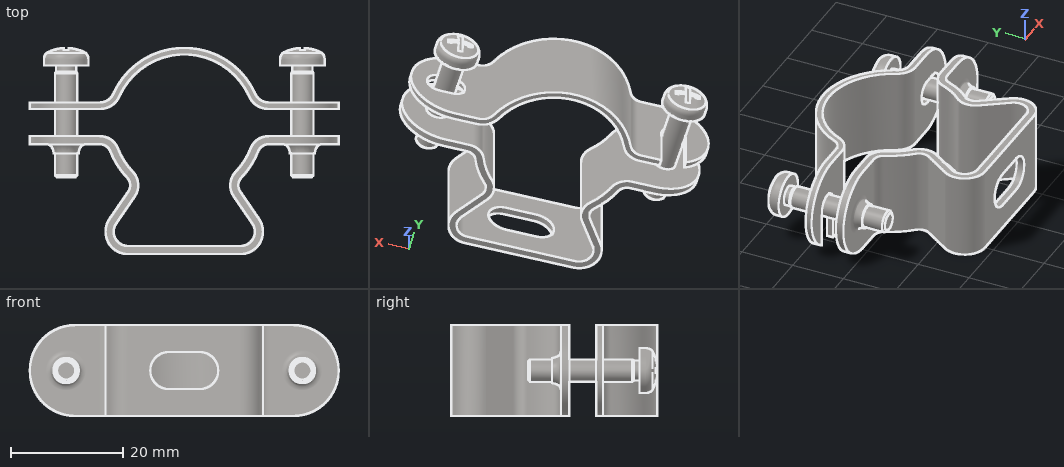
import cadquery as cq
import math

length = 55.0
strip_width = 16.2
ear_gap = 4.8
pipe_radius = 12.65
shortest_run = 0.0005

upper_thickness = 1.2
upper_crest_y = 13.3
upper_ear_bend_radius = 2.55

lower_thickness = 1.5
lower_ear_bend_radius = 2.0
waist_bend_radius = 2.0
waist_y = -11.15
foot_outer_y = -23.45
foot_bend_radius = 2.55
foot_flat_half = 10.0
foot_slot_length = 12.1
foot_slot_height = 6.6

screw_x = 21.0
screw_diameter = 4.0
neck_diameter = 3.65
screw_tip_y = -9.75
tip_chamfer = 0.4
thread_top_y = 8.75
neck_start_y = 9.1
head_bottom_y = 10.1
head_diameter = 8.0
head_rim_height = 1.15
head_round_radius = 1.5
dome_edge_radius = 3.45
head_top_y = upper_crest_y
recess_width = 0.75
recess_depth = 0.4
collar_diameter = 4.5
collar_length = 1.6
collar_step_diameter = 5.5
collar_step_depth = 0.3
collar_flare_diameter = 7.1
collar_overlap = 0.05

ear_slot_width = 4.5
ear_hole_length = 7.0


def polar(centre, radius, degrees):
    """Point at a distance and direction from a centre."""
    angle = math.radians(degrees)
    return cq.Vector(centre[0] + radius * math.cos(angle), centre[1] + radius * math.sin(angle))


def direction(start, end):
    """Direction in degrees from one point to another."""
    return math.degrees(math.atan2(end[1] - start[1], end[0] - start[0]))


def tangent_arc_radius(along, across):
    """Radius of an arc that leaves a line tangentially and reaches a point along and across from it."""
    return (along**2 + across**2) / (2 * across)


def strip_face(bends, ear_y, offset):
    """Edges and both end points of one face of a half strap, offset to the left of its mid-line.

    Each bend is (centre, mid-line radius, start angle, end angle); straight runs join them.
    """
    first = cq.Vector(-length / 2, ear_y + offset)
    last = first
    edges = []
    for centre, radius, start_angle, end_angle in bends:
        turn = math.copysign(1, end_angle - start_angle)
        face_radius = radius - turn * offset
        start = polar(centre, face_radius, start_angle)
        middle = polar(centre, face_radius, (start_angle + end_angle) / 2)
        end = polar(centre, face_radius, end_angle)
        if (start - last).Length > shortest_run:
            edges.append(cq.Edge.makeLine(last, start))
        edges.append(cq.Edge.makeThreePointArc(start, middle, end))
        last = end
    centre_end = cq.Vector(0, last.y)
    if (centre_end - last).Length > shortest_run:
        edges.append(cq.Edge.makeLine(last, centre_end))
    return edges, first, centre_end


def bent_strap(bends, ear_y, thickness):
    """Symmetric bent strap with rounded ears, built from the bends of its -X half."""
    left_edges, left_start, left_end = strip_face(bends, ear_y, thickness / 2)
    right_edges, right_start, right_end = strip_face(bends, ear_y, -thickness / 2)
    caps = [cq.Edge.makeLine(left_start, right_start), cq.Edge.makeLine(left_end, right_end)]
    outline = cq.Wire.assembleEdges(left_edges + right_edges + caps)
    half = cq.Workplane(cq.Solid.extrudeLinear(outline, [], cq.Vector(0, 0, strip_width)))
    half = half.translate((0, 0, -strip_width / 2))
    strap = half.union(half.mirror("YZ")).clean()
    rounded_ends = cq.Workplane("XZ").slot2D(length, strip_width).extrude(length, both=True)
    return strap.intersect(rounded_ends)


def slot_cutter(x, y, slot_length, slot_height, depth):
    """Round-ended cutter along X, centred on Y = y and running through in Y."""
    cutter = cq.Workplane("XZ").center(x, 0).slot2D(slot_length, slot_height).extrude(depth, both=True)
    return cutter.translate((0, y, 0))


def upper_strap():
    """Half-round strap with an open slot in one ear and a long hole in the other."""
    ear_y = ear_gap / 2 + upper_thickness / 2
    arc_radius = pipe_radius + upper_thickness / 2
    arc_centre = (0, upper_crest_y - upper_thickness - pipe_radius)
    bend_radius = upper_ear_bend_radius + upper_thickness / 2
    bend_y = ear_y + bend_radius
    bend_x = -math.sqrt((arc_radius + bend_radius) ** 2 - (bend_y - arc_centre[1]) ** 2)
    bend_centre = (bend_x, bend_y)
    touch_angle = direction(bend_centre, arc_centre)

    bends = [
        (bend_centre, bend_radius, -90, touch_angle),
        (arc_centre, arc_radius, touch_angle + 180, 90),
    ]
    strap = bent_strap(bends, ear_y, upper_thickness)

    slot_floor = cq.Workplane("XZ").circle(ear_slot_width / 2).extrude(upper_thickness, both=True)
    slot_mouth = cq.Workplane("XY").box(ear_slot_width, 2 * upper_thickness, strip_width)
    open_slot = slot_floor.union(slot_mouth.translate((0, 0, -strip_width / 2)))
    open_slot = open_slot.translate((-screw_x, ear_y, 0))
    long_hole = slot_cutter(screw_x, ear_y, ear_hole_length, ear_slot_width, upper_thickness)
    return strap.cut(open_slot).cut(long_hole)


def lower_strap():
    """Strap that follows the pipe, narrows to a waist and ends in a flat slotted foot."""
    half_thickness = lower_thickness / 2
    ear_y = -ear_gap / 2 - half_thickness
    arc_radius = pipe_radius + half_thickness
    arc_centre = (0, 0)
    bend_radius = lower_ear_bend_radius + half_thickness
    bend_y = ear_y - bend_radius
    bend_centre = (-math.sqrt((arc_radius + bend_radius) ** 2 - bend_y**2), bend_y)
    waist_radius = waist_bend_radius + half_thickness
    waist_centre = (-math.sqrt((arc_radius + waist_radius) ** 2 - waist_y**2), waist_y)
    foot_radius = foot_bend_radius + half_thickness
    foot_y = foot_outer_y + half_thickness
    foot_centre = (-foot_flat_half, foot_y + foot_radius)

    bend_touch = direction(bend_centre, arc_centre)
    waist_touch = direction(waist_centre, arc_centre)
    centre_distance = math.dist(waist_centre, foot_centre)
    tangent_turn = math.degrees(math.acos((waist_radius + foot_radius) / centre_distance))
    leg_normal = direction(waist_centre, foot_centre) + tangent_turn

    bends = [
        (bend_centre, bend_radius, 90, bend_touch),
        (arc_centre, arc_radius, bend_touch + 180, waist_touch + 180),
        (waist_centre, waist_radius, waist_touch, leg_normal),
        (foot_centre, foot_radius, leg_normal + 180, 270),
    ]
    strap = bent_strap(bends, ear_y, lower_thickness)
    foot_slot = slot_cutter(0, foot_y, foot_slot_length, foot_slot_height, lower_thickness)
    return strap.cut(foot_slot)


def collar():
    """Short collar below the lower ear, widening in two concave sweeps towards the strap."""
    face_y = -ear_gap / 2 - lower_thickness
    end_y = face_y - collar_length
    step_y = face_y - collar_step_depth
    end_radius = collar_diameter / 2
    step_radius = collar_step_diameter / 2
    flare_radius = collar_flare_diameter / 2
    neck_sweep = tangent_arc_radius(step_y - end_y, step_radius - end_radius)
    flare_sweep = tangent_arc_radius(flare_radius - step_radius, collar_step_depth)
    return (
        cq.Workplane("XY")
        .moveTo(0, end_y)
        .lineTo(end_radius, end_y)
        .radiusArc((step_radius, step_y), neck_sweep)
        .radiusArc((flare_radius, face_y), flare_sweep)
        .lineTo(flare_radius, face_y + collar_overlap)
        .lineTo(0, face_y + collar_overlap)
        .close()
        .revolve(360, (0, 0), (0, 1))
    )


def screw(x):
    """Cross-recessed round-head screw along Y, with the flared collar that joins it to the lower ear."""
    radius = screw_diameter / 2
    neck_radius = neck_diameter / 2
    head_radius = head_diameter / 2
    rim_y = head_bottom_y + head_rim_height
    round_centre_x = head_radius - head_round_radius
    round_angle = math.acos((dome_edge_radius - round_centre_x) / head_round_radius)
    dome_edge_y = rim_y + head_round_radius * math.sin(round_angle)
    round_middle = (
        round_centre_x + head_round_radius * math.cos(round_angle / 2),
        rim_y + head_round_radius * math.sin(round_angle / 2),
    )
    dome_height = head_top_y - dome_edge_y
    dome_radius = tangent_arc_radius(dome_edge_radius, dome_height)

    turned = (
        cq.Workplane("XY")
        .moveTo(0, screw_tip_y)
        .lineTo(radius - tip_chamfer, screw_tip_y)
        .lineTo(radius, screw_tip_y + tip_chamfer)
        .lineTo(radius, thread_top_y)
        .lineTo(neck_radius, neck_start_y)
        .lineTo(neck_radius, head_bottom_y)
        .lineTo(head_radius, head_bottom_y)
        .lineTo(head_radius, rim_y)
        .threePointArc(round_middle, (dome_edge_radius, dome_edge_y))
        .radiusArc((0, head_top_y), -dome_radius)
        .close()
        .revolve(360, (0, 0), (0, 1))
    )
    for size_x, size_z in [(head_diameter, recess_width), (recess_width, head_diameter)]:
        groove = cq.Workplane("XY").box(size_x, 2 * recess_depth, size_z)
        turned = turned.cut(groove.translate((0, head_top_y, 0)))
    return turned.union(collar()).translate((x, 0, 0))


def lower_half():
    """Lower strap and both captive screws as one solid."""
    body = lower_strap()
    for x in (-screw_x, screw_x):
        body = body.union(screw(x))
    return body


top_half = upper_strap()
bottom_half = lower_half()
result = cq.Compound.makeCompound([top_half.val(), bottom_half.val()])